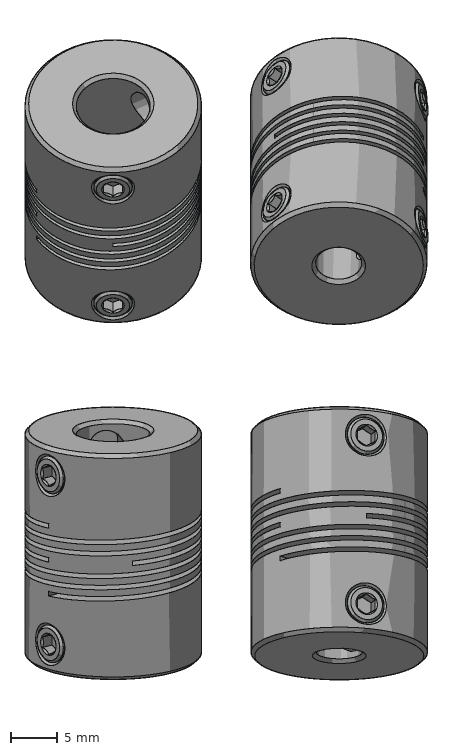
import cadquery as cq
import math

body_length = 25.4
body_radius = 9.55
large_bore_radius = 4.0
small_bore_radius = 2.5
small_bore_length = 7.62
edge_chamfer = 0.4

slot_height = 0.5
slot_lead = 2.55
slot_overlap = 0.5
start_count = 2
slot_zone_height = 7.62
slot_bottom = (body_length - slot_zone_height) / 2
slot_top = slot_bottom + slot_zone_height
first_start_angle = -90.0
lower_run_turns = 1.5
bridge_angle = 60.0

screw_angles = (90.0, -30.0)
screw_end_offset = 3.2
screw_radius = 2.08
screw_length = 2.55
screw_chamfer = 0.28
hole_chamfer = 0.25
socket_flats = 2.0
socket_depth = 1.5
socket_mouth_radius = 1.22


def turned_blank():
    """Chamfered cylinder with a stepped bore, the large bore opening at the top."""
    blank = cq.Workplane("XY").circle(body_radius).extrude(body_length)
    blank = blank.faces("<Z or >Z").chamfer(edge_chamfer)
    blank = blank.cut(cq.Workplane("XY").circle(small_bore_radius).extrude(body_length))
    large_bore = (
        cq.Workplane("XY", origin=(0, 0, small_bore_length))
        .circle(large_bore_radius)
        .extrude(body_length - small_bore_length)
    )
    blank = blank.cut(large_bore)
    blank = blank.faces(">Z").edges(cq.selectors.RadiusNthSelector(0)).chamfer(edge_chamfer)
    return blank.faces("<Z").edges(cq.selectors.RadiusNthSelector(0)).chamfer(edge_chamfer)


def helical_slot(start_angle, start_height, rise):
    """Radial slot climbing from start_height by rise, open to the bore and the outside."""
    inner_radius = large_bore_radius - slot_overlap
    outer_radius = body_radius + slot_overlap
    mean_radius = (inner_radius + outer_radius) / 2
    path = cq.Wire.makeHelix(slot_lead, rise, mean_radius)
    slot = (
        cq.Workplane("XZ")
        .center(mean_radius, 0)
        .rect(outer_radius - inner_radius, slot_height)
        .sweep(cq.Workplane(path), isFrenet=True)
    )
    return slot.rotate((0, 0, 0), (0, 0, 1), start_angle).translate((0, 0, start_height))


def at_screw_place(shape, angle, height):
    """Move a shape modelled along +X to a screw position."""
    return shape.rotate((0, 0, 0), (0, 0, 1), angle).translate((0, 0, height))


def drill_screw_hole(part, angle, height):
    """Cut a radial hole from the bore out through the wall and chamfer its curved outer edge."""
    hole = cq.Workplane("YZ").circle(screw_radius).extrude(body_radius)
    part = part.cut(at_screw_place(hole, angle, height))
    mouth = (
        body_radius * math.cos(math.radians(angle)),
        body_radius * math.sin(math.radians(angle)),
        height,
    )
    return part.edges(cq.selectors.NearestToPointSelector(mouth)).chamfer(hole_chamfer)


def set_screw():
    """Set screw along +X, its chamfered socket end level with the body radius."""
    screw = (
        cq.Workplane("YZ", origin=(body_radius - screw_length, 0, 0))
        .circle(screw_radius)
        .extrude(screw_length)
        .faces(">X")
        .chamfer(screw_chamfer)
    )
    socket = (
        cq.Workplane("YZ", origin=(body_radius - socket_depth, 0, 0))
        .polygon(6, socket_flats / math.cos(math.pi / 6))
        .extrude(socket_depth)
        .rotate((0, 0, 0), (1, 0, 0), 90)
    )
    mouth = (
        cq.Workplane("XY", origin=(body_radius, 0, 0))
        .polyline([(0, 0), (0, socket_mouth_radius), (-socket_mouth_radius, 0)])
        .close()
        .revolve(360, (0, 0, 0), (1, 0, 0))
    )
    return screw.cut(socket).cut(mouth)


screw_places = [
    (angle, height)
    for angle in screw_angles
    for height in (screw_end_offset, body_length - screw_end_offset)
]

body = turned_blank()
for angle, height in screw_places:
    body = drill_screw_hole(body, angle, height)
lower_rise = lower_run_turns * slot_lead
upper_start = slot_bottom + lower_rise + slot_lead * bridge_angle / 360
for start in range(start_count):
    lower_angle = first_start_angle + start * 360 / start_count
    upper_angle = lower_angle + lower_run_turns * 360 + bridge_angle
    body = body.cut(helical_slot(lower_angle, slot_bottom, lower_rise))
    body = body.cut(helical_slot(upper_angle, upper_start, slot_top - upper_start))

screws = [at_screw_place(set_screw(), angle, height) for angle, height in screw_places]

result = cq.Compound.makeCompound([body.solids().val(), *[screw.solids().val() for screw in screws]])